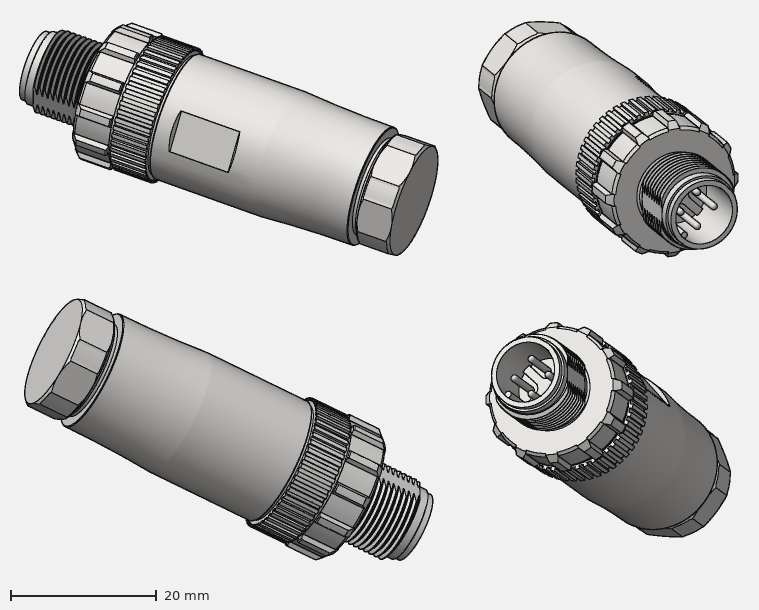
import cadquery as cq
import math

length = 57.3

nose_diameter = 10.0
nose_end = 1.0
collar_radius = 5.35
thread_start = 2.25

thread_end = 8.9
thread_pitch = 0.8
thread_root_radius = 5.45
thread_crest_radius = 6.0
thread_root_width = 0.75
thread_embed = 0.05
thread_crest_width = 0.1
thread_flat_distance = collar_radius

lead_cone_start = 9.75
lead_cone_radius = 5.7
coupling_start = 9.9
coupling_end = 15.4
coupling_radius = 9.3
lobe_count = 12
lobe_diameter = 20.0
lobe_radius = lobe_diameter / 2
lobe_top_half_width = 0.6
lobe_root_half_width = 0.85
coupling_front_chamfer = 0.9
barrel_front_chamfer = 0.4
coupling_rear_chamfer = 0.2

knurl_start = 15.9
knurl_end = 21.15
knurl_outer_radius = 9.8
knurl_root_radius = 9.4
knurl_tooth_count = 50
knurl_phase = 90.0 / knurl_tooth_count
coupling_neck_radius = 9.15

body_neck_radius = 8.75
body_start = 21.55
body_radius = 9.1
taper_start = 37.5
body_end = 51.2
body_end_radius = 8.6
taper_middle_radius = 8.7
body_chamfer = 0.1

label_start = 24.3
label_end = 33.05
label_half_width = 3.0
label_distance = 8.5
label_end_run = 0.4
label_angle = 40.0

gland_neck_radius = 7.05
gland_start = 52.2
gland_corner_diameter = 16.5
gland_flat_distance = 7.9
gland_rim_radius = 8.35
gland_edge_chamfer = 0.45
gland_side_count = 6
gland_first_side_angle = 20.3
gland_flat_width = 5.35
gland_flat_half_width = gland_flat_width / 2
gland_corner_half_angle = 8.7
gland_cone_length = 0.5
gland_cone_radius = 7.7

socket_diameter = 8.55
socket_radius = socket_diameter / 2
socket_floor = 8.6
pin_diameter = 1.0
pin_circle_diameter = 5.0
pin_tip = 1.85
pin_count = 4
cross_arm_width = 1.2
cross_corner_radius = 1.05
cross_height = 0.6
cross_angle = 45.0

key_angle = -135.0
key_start = 0.5
key_radius = 0.45
key_centre_radius = 3.9


def cylinder(start, end, radius):
    """Solid cylinder on the X axis."""
    return cq.Workplane("YZ", origin=(start, 0, 0)).circle(radius).extrude(end - start)


def turned(points):
    """Solid turned about the X axis from (x, radius) points, closed along the axis."""
    outline = [(points[0][0], 0), *points, (points[-1][0], 0)]
    return cq.Workplane("XY").polyline(outline).close().revolve(360, (0, 0, 0), (1, 0, 0))


def around_axis(shape, count, first_angle=0.0):
    """Copies of a shape spread evenly around the X axis, as one workplane."""
    copies = cq.Workplane("YZ")
    for i in range(count):
        angle = first_angle + 360.0 * i / count
        copies = copies.union(shape.rotate((0, 0, 0), (1, 0, 0), angle))
    return copies


def threaded_shank():
    """Root cylinder with a helical ridge, cut square at both ends and flat on both Y sides."""
    thread_length = thread_end - thread_start
    embedded_radius = thread_root_radius - thread_embed
    half_root = thread_root_width / 2
    half_crest = thread_crest_width / 2
    helix = cq.Workplane(cq.Wire.makeHelix(thread_pitch, thread_pitch, embedded_radius))
    envelope = (
        cq.Workplane("XY")
        .box(thread_length, 2 * thread_flat_distance, 3 * thread_crest_radius)
        .translate((thread_start + thread_length / 2, 0, 0))
    )
    turn = (
        cq.Workplane("XZ")
        .polyline([
            (embedded_radius, -half_root),
            (thread_crest_radius, -half_crest),
            (thread_crest_radius, half_crest),
            (embedded_radius, half_root),
        ])
        .close()
        .sweep(helix, isFrenet=True)
        .rotate((0, 0, 0), (0, 1, 0), 90)
        .rotate((0, 0, 0), (1, 0, 0), 90)
        .translate((thread_start - thread_pitch / 4, 0, 0))
        .cut(cylinder(thread_start - thread_length, thread_end, thread_root_radius))
    )
    ridges = []
    for i in range(-1, math.ceil(thread_length / thread_pitch) + 1):
        ridge = turn.translate((i * thread_pitch, 0, 0)).intersect(envelope)
        ridges += ridge.solids().vals()
    shank = cylinder(thread_start, thread_end, thread_root_radius).intersect(envelope)
    return cq.Workplane(shank.val().fuse(*ridges))


def plug():
    """Nose, collar, threaded shank and the neck that flares into the coupling nut."""
    nose = cylinder(0, nose_end, nose_diameter / 2)
    collar = cylinder(nose_end, thread_start, collar_radius)
    neck = turned([
        (thread_end, collar_radius),
        (lead_cone_start, collar_radius),
        (coupling_start, lead_cone_radius),
    ])
    return nose.union(collar).union(threaded_shank()).union(neck)


def coupling_nut():
    """Chamfered barrel with tapered grip lobes."""
    lobe = (
        cq.Workplane("YZ", origin=(coupling_start, 0, 0))
        .polyline([
            (-lobe_root_half_width, 0),
            (-lobe_root_half_width, coupling_radius),
            (-lobe_top_half_width, lobe_radius),
            (lobe_top_half_width, lobe_radius),
            (lobe_root_half_width, coupling_radius),
            (lobe_root_half_width, 0),
        ])
        .close()
        .extrude(coupling_end - coupling_start)
    )
    barrel = turned([
        (coupling_start, coupling_radius - barrel_front_chamfer),
        (coupling_start + barrel_front_chamfer, coupling_radius),
        (coupling_end, coupling_radius),
    ])
    envelope = turned([
        (coupling_start, lobe_radius - coupling_front_chamfer),
        (coupling_start + coupling_front_chamfer, lobe_radius),
        (coupling_end - coupling_rear_chamfer, lobe_radius),
        (coupling_end, lobe_radius - coupling_rear_chamfer),
    ])
    return barrel.union(around_axis(lobe, lobe_count)).intersect(envelope)


def knurled_ring():
    """Ring of square teeth, tooth and gap taking equal angles, with a neck at each end."""
    half_tooth = math.radians(360.0 / knurl_tooth_count / 4)

    def at(radius, angle):
        return (radius * math.sin(angle), radius * math.cos(angle))

    points = []
    for i in range(knurl_tooth_count):
        middle = math.radians(knurl_phase + 360.0 * i / knurl_tooth_count)
        points += [
            at(knurl_root_radius, middle - half_tooth),
            at(knurl_outer_radius, middle - half_tooth),
            at(knurl_outer_radius, middle + half_tooth),
            at(knurl_root_radius, middle + half_tooth),
        ]
    ring = (
        cq.Workplane("YZ", origin=(knurl_start, 0, 0))
        .polyline(points)
        .close()
        .extrude(knurl_end - knurl_start)
    )
    front_neck = cylinder(coupling_end, knurl_start, coupling_neck_radius)
    rear_neck = cylinder(knurl_end, body_start, body_neck_radius)
    return front_neck.union(ring).union(rear_neck)


def body():
    """Sleeve that narrows in a shallow arc towards the gland, less the label flat."""
    taper_middle = (taper_start + body_end) / 2
    sleeve = (
        cq.Workplane("XY")
        .moveTo(body_start, 0)
        .lineTo(body_start, body_radius - body_chamfer)
        .lineTo(body_start + body_chamfer, body_radius)
        .lineTo(taper_start, body_radius)
        .threePointArc((taper_middle, taper_middle_radius), (body_end - body_chamfer, body_end_radius))
        .lineTo(body_end, body_end_radius - body_chamfer)
        .lineTo(body_end, 0)
        .close()
        .revolve(360, (0, 0, 0), (1, 0, 0))
    )
    return sleeve.cut(label_pocket())


def label_pocket():
    """Flat-bottomed cut whose two ends slope up to the body surface."""
    rise = body_radius - label_distance
    run = label_end_run
    return (
        cq.Workplane("XZ")
        .polyline([
            (label_start, label_distance),
            (label_start - run, label_distance + rise),
            (label_end + run, label_distance + rise),
            (label_end, label_distance),
        ])
        .close()
        .extrude(label_half_width, both=True)
        .rotate((0, 0, 0), (1, 0, 0), 90 - label_angle)
    )


def gland_nut():
    """Hexagon with raised flats and turned-down corners, joined to the body by a neck."""
    nut_length = length - gland_start
    corner_radius = gland_corner_diameter / 2
    half_side = 180.0 / gland_side_count
    corner_start = math.radians(half_side - gland_corner_half_angle)
    core = cylinder(gland_start, length, corner_radius)
    step = (corner_radius * math.sin(corner_start), corner_radius * math.cos(corner_start))
    flat = (
        cq.Workplane("YZ", origin=(gland_start, 0, 0))
        .polyline([
            (0, 0),
            step,
            (gland_flat_half_width, gland_flat_distance),
            (-gland_flat_half_width, gland_flat_distance),
            (-step[0], step[1]),
        ])
        .close()
        .extrude(nut_length)
    )
    trim = (
        cq.Workplane("XY")
        .box(nut_length, 2 * gland_flat_half_width, corner_radius)
        .translate((gland_start + nut_length / 2, 0, gland_flat_distance + corner_radius / 2))
    )
    first = 90 - gland_first_side_angle
    hexagon = core.cut(around_axis(trim, gland_side_count, first))
    hexagon = hexagon.union(around_axis(flat, gland_side_count, first))
    envelope = turned([
        (gland_start, gland_rim_radius - gland_edge_chamfer),
        (gland_start + gland_edge_chamfer, gland_rim_radius),
        (length - gland_edge_chamfer, gland_rim_radius),
        (length, gland_rim_radius - gland_edge_chamfer),
    ])
    neck = turned([
        (body_end, gland_neck_radius),
        (gland_start - gland_cone_length, gland_neck_radius),
        (gland_start, gland_cone_radius),
    ])
    return neck.union(hexagon.intersect(envelope))


def pin():
    """Round-tipped pin above the axis."""
    radius = pin_diameter / 2
    return (
        cylinder(pin_tip + radius, socket_floor, radius)
        .union(cq.Workplane("XY").sphere(radius).translate((pin_tip + radius, 0, 0)))
        .translate((0, 0, pin_circle_diameter / 2))
    )


def floor_cross():
    """Diagonal cross standing on the socket floor, its inner corners rounded."""
    arm = (
        cq.Workplane("YZ", origin=(socket_floor - cross_height, 0, 0))
        .rect(cross_arm_width, 3 * socket_radius)
        .extrude(cross_height)
    )
    cross = arm.union(arm.rotate((0, 0, 0), (1, 0, 0), 90))
    inner = cq.selectors.BoxSelector(
        (0, -cross_arm_width, -cross_arm_width),
        (length, cross_arm_width, cross_arm_width),
    )
    cross = cross.edges("|X").edges(inner).fillet(cross_corner_radius)
    return cross.rotate((0, 0, 0), (1, 0, 0), cross_angle)


def key():
    """Rod half sunk into the socket wall."""
    return (
        cylinder(key_start, socket_floor, key_radius)
        .translate((0, 0, key_centre_radius))
        .rotate((0, 0, 0), (1, 0, 0), key_angle)
    )


shell = plug().union(coupling_nut()).union(knurled_ring()).union(body()).union(gland_nut())
socket = cylinder(0, socket_floor, socket_radius).cut(floor_cross()).cut(key())
socket = socket.cut(around_axis(pin(), pin_count))
result = shell.cut(socket)